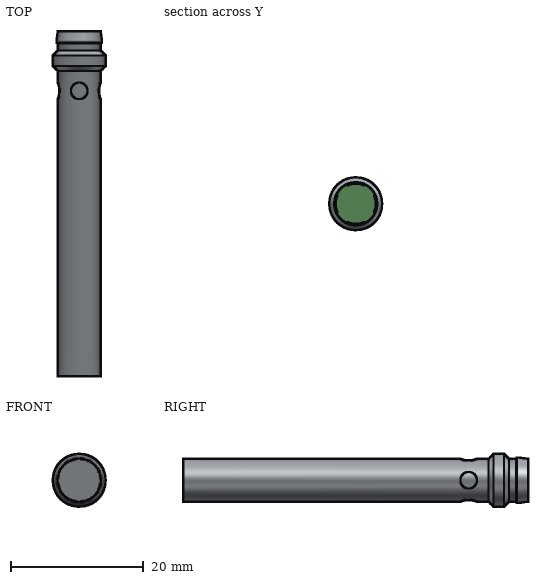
import cadquery as cq

length = 52.0
body_radius = 3.25
collar_radius = 4.0

lip_ramp_length = 1.45
lip_land_length = 0.3
lip_back_length = 0.15
collar_start = 2.9
collar_width = 3.1
recess_distance = 9.0

lip_radius = 3.45

recess_diameter = 2.5
recess_depth = 0.2
recess_count = 4

end_y = length / 2
tip_y = -length / 2


def make_turned_body():
    """Revolve the half profile: connector end, snap lip, groove, collar, long body."""
    collar_bevel = collar_radius - body_radius
    land_start = end_y - lip_ramp_length
    land_finish = land_start - lip_land_length
    groove_start = land_finish - lip_back_length
    collar_back = end_y - collar_start
    collar_front = collar_back - collar_width
    profile = (
        cq.Workplane("XY")
        .moveTo(0, end_y)
        .lineTo(body_radius, end_y)
        .lineTo(lip_radius, land_start)
        .lineTo(lip_radius, land_finish)
        .lineTo(body_radius, groove_start)
        .lineTo(body_radius, collar_back)
        .lineTo(collar_radius, collar_back - collar_bevel)
        .lineTo(collar_radius, collar_front + collar_bevel)
        .lineTo(body_radius, collar_front)
        .lineTo(body_radius, tip_y)
        .lineTo(0, tip_y)
        .close()
    )
    return profile.revolve(360, (0, 0, 0), (0, 1, 0))


def make_recess_cutter():
    """Upright round plug whose inner face follows the cylindrical recess floor."""
    recess_y = end_y - recess_distance
    plug = (
        cq.Workplane("XY")
        .center(0, recess_y)
        .circle(recess_diameter / 2)
        .extrude(collar_radius)
    )
    floor_core = (
        cq.Workplane("XZ", origin=(0, end_y, 0))
        .circle(body_radius - recess_depth)
        .extrude(length)
    )
    return plug.cut(floor_core)


result = make_turned_body()
cutter = make_recess_cutter()
for index in range(recess_count):
    angle = index * 360 / recess_count
    result = result.cut(cutter.rotate((0, 0, 0), (0, 1, 0), angle))